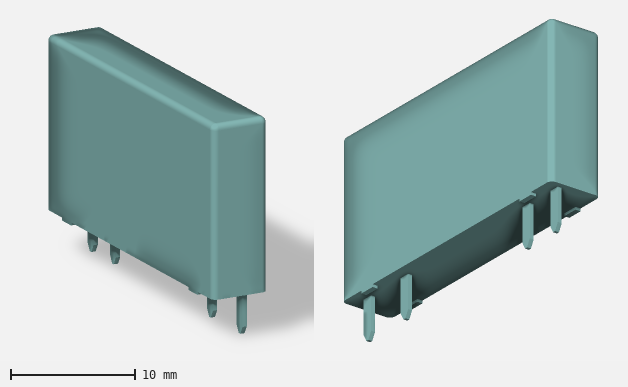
import cadquery as cq

LENGTH = 28.0
WIDTH = 5.0
HEIGHT = 14.75
EDGE_RADIUS = 0.5

FOOT_LENGTH = 1.5
FOOT_THICKNESS = EDGE_RADIUS
FOOT_HEIGHT = 0.25
FOOT_X = 10.58

TOTAL_HEIGHT = 18.6
PIN_LENGTH = TOTAL_HEIGHT - HEIGHT
PIN_WIDTH = 1.0
PIN_THICKNESS = 0.4
PIN_TIP_WIDTH = 0.28
PIN_TAPER = 0.67
PIN_ROW_Y = 1.18
PIN_XS = (-12.95, -9.18, 7.08, 12.05)


def make_housing():
    """Box rounded on every edge except those of the lower face."""
    box = cq.Workplane("XY").box(LENGTH, WIDTH, HEIGHT, centered=(True, True, False))
    return box.edges("|Z or >Z").fillet(EDGE_RADIUS)


def make_foot(x, side):
    """Foot flush with the long side face; side is -1 or +1 along Y."""
    y = side * (WIDTH - FOOT_THICKNESS) / 2
    foot = cq.Workplane("XY").box(
        FOOT_LENGTH, FOOT_THICKNESS, FOOT_HEIGHT, centered=(True, True, False)
    )
    return foot.translate((x, y, -FOOT_HEIGHT))


def make_pin(x):
    """Pin hanging from the lower face, tapered in its width at the tip."""
    half_width = PIN_WIDTH / 2
    half_tip = PIN_TIP_WIDTH / 2
    shoulder_z = PIN_TAPER - PIN_LENGTH
    outline = [
        (-half_width, 0),
        (-half_width, shoulder_z),
        (-half_tip, -PIN_LENGTH),
        (half_tip, -PIN_LENGTH),
        (half_width, shoulder_z),
        (half_width, 0),
    ]
    pin = cq.Workplane("XZ").polyline(outline).close().extrude(PIN_THICKNESS / 2, both=True)
    return pin.translate((x, PIN_ROW_Y, 0))


result = make_housing()
for foot_x in (-FOOT_X, FOOT_X):
    for foot_side in (-1, 1):
        result = result.union(make_foot(foot_x, foot_side))
for pin_x in PIN_XS:
    result = result.union(make_pin(pin_x))